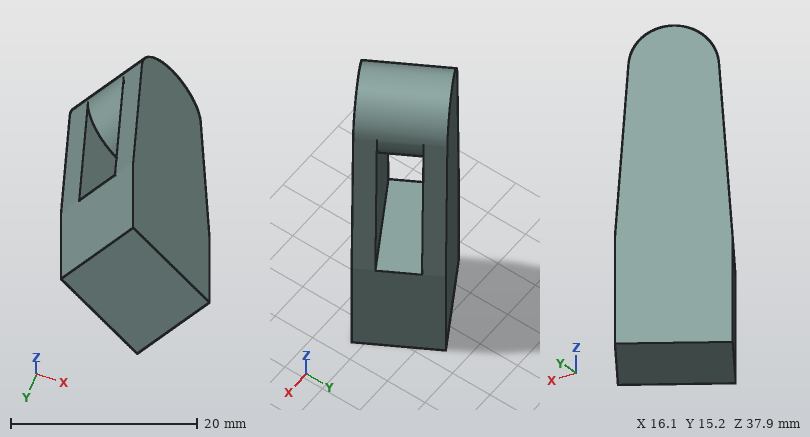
import cadquery as cq
import math

total_height = 37.9
body_width = 12.65
body_depth = 10.2
base_height = 12.75
head_diameter = 9.78
cheek_thickness = 2.58
turn_angle = 30.0

head_radius = head_diameter / 2
head_center_z = total_height - head_radius
half_width = body_width / 2
slot_depth = body_depth - 2 * cheek_thickness

rise = head_center_z - base_height
shoulder_distance = math.hypot(half_width, rise)
flank_lean = math.atan2(half_width, rise) - math.asin(head_radius / shoulder_distance)
tangent_x = head_radius * math.cos(flank_lean)
tangent_z = head_center_z + head_radius * math.sin(flank_lean)


def centered_profile(depth):
    """XZ sketch plane placed so that extruding by depth is centred on Y = 0."""
    return cq.Workplane("XZ", origin=(0, depth / 2, 0))


def make_body():
    """Straight foot, tapered flanks and rounded head, extruded along Y."""
    return (
        centered_profile(body_depth)
        .moveTo(-half_width, 0)
        .lineTo(half_width, 0)
        .lineTo(half_width, base_height)
        .lineTo(tangent_x, tangent_z)
        .threePointArc((0, total_height), (-tangent_x, tangent_z))
        .lineTo(-half_width, base_height)
        .close()
        .extrude(body_depth)
    )


def make_slot():
    """Open slot between the cheeks, running up from the top of the foot."""
    slot_height = total_height - base_height
    return (
        cq.Workplane("XY", origin=(0, 0, base_height))
        .box(body_width, slot_depth, slot_height, centered=(True, True, False))
    )


def make_roller():
    """Round bar that bridges the cheeks, flush with their rounded tops."""
    return (
        centered_profile(slot_depth)
        .center(0, head_center_z)
        .circle(head_radius)
        .extrude(slot_depth)
    )


upright_part = make_body().cut(make_slot()).union(make_roller()).clean()
result = upright_part.rotate((0, 0, 0), (0, 0, 1), turn_angle)